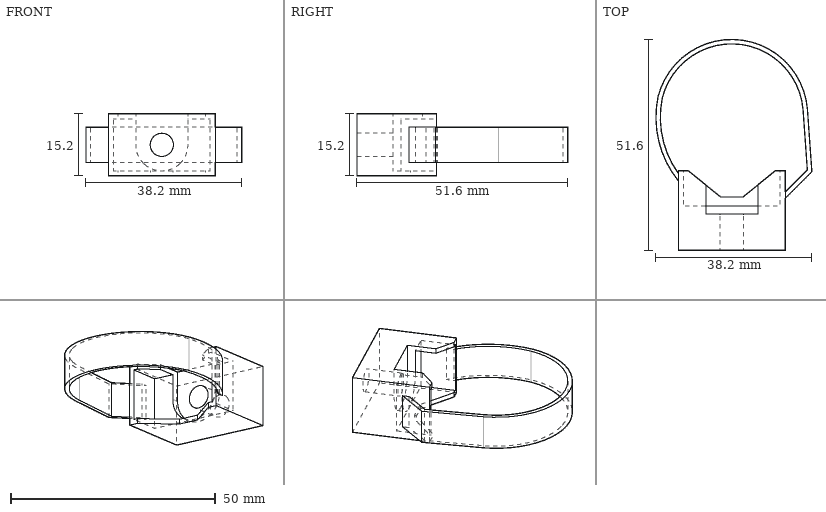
import cadquery as cq

block_width = 26.15
block_depth = 19.5
block_height = 15.2
wall = 1.25

seat_top_half_width = 10.7
seat_floor_half_width = 2.75
seat_floor_y = 13.05

bolt_hole_diameter = 5.65
recess_floor_y = 8.8
cavity_floor_y = 10.85
cavity_width = block_width - 2 * wall
cavity_height = block_height - 2 * wall
recess_diameter = cavity_height

strap_height = 8.65
strap_thickness = 1.15
strap_top_y = 51.55
arc_left = (-18.05, 37.6)
arc_right = (18.5, 34.55)
corner_x = 19.6
corner_y = 19.25
left_bulge = (-16.8, 23.3)
left_end = (-cavity_width / 2, 15.5)
right_end = (cavity_width / 2, corner_y - (corner_x - cavity_width / 2))


def centred_box(width, height, y_start, y_end):
    """Box centred in X and Z, spanning y_start to y_end."""
    depth = y_end - y_start
    return cq.Workplane("XY").box(width, depth, height).translate((0, y_start + depth / 2, 0))


def bore(diameter, y_start, y_end):
    """Cylinder along +Y on the block's centre line."""
    return (
        cq.Workplane("XZ", origin=(0, y_start, 0))
        .circle(diameter / 2)
        .extrude(y_start - y_end)
    )


def v_seat():
    return (
        cq.Workplane("XY")
        .moveTo(-seat_top_half_width, block_depth)
        .lineTo(-seat_floor_half_width, seat_floor_y)
        .lineTo(seat_floor_half_width, seat_floor_y)
        .lineTo(seat_top_half_width, block_depth)
        .close()
        .extrude(block_height / 2, both=True)
    )


def head_slot():
    """Slot that lets the bolt head drop into its recess from the top."""
    return (
        cq.Workplane("XY")
        .center(0, (recess_floor_y + block_depth) / 2)
        .rect(recess_diameter, block_depth - recess_floor_y)
        .extrude(block_height / 2)
    )


def strap_outline():
    """Closed outer outline of the strap, completed inside the block."""
    return (
        cq.Workplane("XY")
        .moveTo(*left_end)
        .threePointArc(left_bulge, arc_left)
        .threePointArc((0, strap_top_y), arc_right)
        .lineTo(corner_x, corner_y)
        .lineTo(*right_end)
        .lineTo(right_end[0], 0)
        .lineTo(left_end[0], 0)
        .close()
    )


def strap():
    outer = strap_outline().extrude(strap_height / 2, both=True)
    inner = (
        strap_outline()
        .offset2D(-strap_thickness, "intersection")
        .extrude(strap_height / 2, both=True)
    )
    inside_block = centred_box(cavity_width, block_height, 0, block_depth)
    return outer.cut(inner).cut(inside_block)


block = (
    centred_box(block_width, block_height, 0, block_depth)
    .cut(bore(bolt_hole_diameter, 0, recess_floor_y))
    .cut(bore(recess_diameter, recess_floor_y, cavity_floor_y))
    .cut(centred_box(cavity_width, cavity_height, cavity_floor_y, block_depth))
    .cut(head_slot())
    .cut(v_seat())
)

result = block.union(strap())